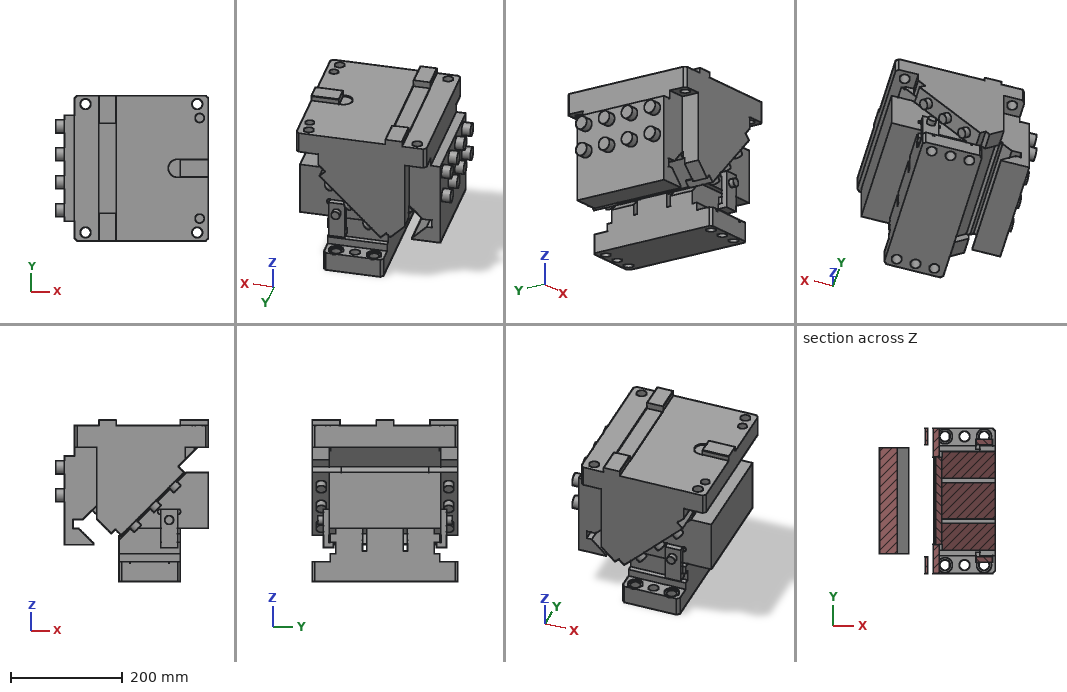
import cadquery as cq
import math


x_back = 273.0
width = 260.0
height = 289.0
half_width = width / 2
corner_chamfer = 5.0

wear_top = -62.0
rail_top = -49.5
gib_top = 14.0
gib_bottom = 34.5
slider_slope = 38.7

wall_front_rise = 185.2
wear_front_rise = 193.0
gib_front_rise = 200.0
rail_front_rise = 204.5
gib_back_rise = 425.0

plate_top = 279.2
plate_bottom = 240.2
plate_front = 33.5
plate_hole_diameter = 18.2
plate_hole_inset_x = 20.0
plate_hole_y = 114.7
dowel_diameter = 16.2
dowel_depth = 29.0
dowel_x = 257.5
dowel_y = 90.0

key_slot_depth = 3.0
cross_key_chamfer = 0.72
back_key_chamfer = 1.0
cross_key_front = 77.5
cross_key_width = 31.2
cross_key_length = 50.0
back_slot_width = 32.0
back_slot_length = 71.7
back_key_width = 32.0
back_key_length = 50.5

wall_front = 73.0
wall_back = 232.0
rail_half_width = 99.7
wear_half_width = 97.0
neck_half_width = 78.0
gib_bolt_diameter = 18.2
gib_bolt_height = 12.7
gib_bolt_y = 114.0
gib_bolt_pitch = 50.0
gib_bolt_middle_rise = 312.0

block_front = 16.0
block_half_width = 95.0
block_top = 224.8
block_bottom = 65.5
hook_slot_front = 31.2
hook_slot_top = 110.7
hook_slot_bottom = 95.5
hook_slope_start = 41.0
hook_tip_x = 68.5
front_bolt_diameter = 24.0
front_bolt_pitch = 50.0
front_bolt_columns = 4
front_bolt_top_z = 204.3
front_bolt_rows = 2

slider_bottom = 95.5
slider_top = 195.0
slider_half_width = rail_half_width
rail_wide_back = 248.0
neck_bottom = 85.8

bracket_front = 188.0
bracket_back = 218.0
bracket_bottom = 60.7
bracket_top = 129.8
bracket_half_width = 110.0
lip_top = 70.2
lip_inner_y = 92.0
pin_diameter = 15.5
pin_x = (bracket_front + bracket_back) / 2
pin_z = 110.0
pin_end_y = 120.0
side_slot_length = 41.0
side_slot_height = 9.5
side_slot_depth = 2.0

base_front = 113.0
base_back = 222.8
foot_top = 35.8
shoulder_half_width = 98.0
shoulder_top = 50.0
pillar_half_width = 88.5
tongue_half_width = 32.7
tongue_top = 81.8
groove_width = 7.2
groove_floor = 55.0
rib_front = 195.5
rib_top = 85.8
foot_hole_y = 115.0
foot_hole_pitch = 35.0
foot_hole_diameter = 18.2
counterbore_diameter = 26.5
counterbore_depth = 3.0


def slope_point(level, rise):
    """The (x, z) point where x - z = level and x + z = rise."""
    return ((rise + level) / 2, (rise - level) / 2)


def slope_at_height(level, z):
    return (level + z, z)


def slope_at_x(level, x):
    return (x, x - level)


def profile(points, y_min, y_max):
    """An XZ outline extruded from y_min to y_max."""
    return cq.Workplane("XZ", origin=(0, y_max, 0)).polyline(points).close().extrude(y_max - y_min)


def centred_profile(points, half):
    return profile(points, -half, half)


def on_both_sides(solid):
    return solid.union(solid.mirror("XZ"))


def box(x_range, y_range, z_range):
    size = [high - low for low, high in (x_range, y_range, z_range)]
    corner = (x_range[0], y_range[0], z_range[0])
    return cq.Workplane("XY").box(*size, centered=False).translate(corner)


def make_plate():
    plate = box((plate_front, x_back), (-half_width, half_width), (plate_bottom, plate_top))
    plate = plate.edges("|Z").chamfer(corner_chamfer)
    hole_xs = (plate_front + plate_hole_inset_x, x_back - plate_hole_inset_x)
    corner_points = [(x, y) for x in hole_xs for y in (-plate_hole_y, plate_hole_y)]
    dowel_points = [(dowel_x, -dowel_y), (dowel_x, dowel_y)]
    plate = plate.faces(">Z").workplane(origin=(0, 0, plate_top)).pushPoints(corner_points)
    plate = plate.hole(plate_hole_diameter)
    plate = plate.faces(">Z").workplane(origin=(0, 0, plate_top)).pushPoints(dowel_points)
    return plate.hole(dowel_diameter, dowel_depth)


def cut_key_slots(plate):
    floor = plate_top - key_slot_depth
    cross_key_back = cross_key_front + cross_key_width
    plate = plate.cut(box((cross_key_front, cross_key_back), (-half_width, half_width), (floor, plate_top)))
    back_slot = (
        cq.Workplane("XY", origin=(x_back, 0, floor))
        .slot2D(2 * back_slot_length, back_slot_width)
        .extrude(key_slot_depth)
    )
    return plate.cut(back_slot)


def make_keys():
    floor = plate_top - key_slot_depth
    cross_key = box(
        (cross_key_front, cross_key_front + cross_key_width),
        (half_width - cross_key_length, half_width),
        (floor, height),
    )
    cross_key = cross_key.faces(">Z").edges("|Y").chamfer(cross_key_chamfer)
    back_key = box(
        (x_back - back_key_length, x_back), (-back_key_width / 2, back_key_width / 2), (floor, height)
    )
    back_key = back_key.faces(">Z").edges("|X").chamfer(back_key_chamfer)
    return on_both_sides(cross_key).union(back_key)


def make_front_block():
    hook_drop = hook_tip_x - hook_slope_start
    block = centred_profile(
        [
            (block_front, block_bottom),
            (block_front, block_top),
            (plate_front, block_top),
            (plate_front, plate_bottom),
            slope_at_height(wear_top, plate_bottom),
            slope_at_height(wear_top, hook_slot_top),
            (hook_slot_front, hook_slot_top),
            (hook_slot_front, hook_slot_bottom),
            (hook_slope_start, hook_slot_bottom),
            (hook_tip_x, hook_slot_bottom - hook_drop),
            (hook_tip_x, block_bottom),
        ],
        block_half_width,
    )
    bolts = (
        cq.Workplane("YZ", origin=(0, 0, front_bolt_top_z - front_bolt_pitch / 2))
        .rarray(front_bolt_pitch, front_bolt_pitch, front_bolt_columns, front_bolt_rows)
        .circle(front_bolt_diameter / 2)
        .extrude(block_front)
    )
    return block.union(bolts)


def make_core():
    """The filling between the walls above the rail, with the wear plate on its slope."""
    core = centred_profile(
        [
            (wall_front, plate_bottom),
            slope_at_x(rail_top, wall_front),
            slope_at_height(rail_top, plate_bottom),
        ],
        rail_half_width,
    )
    wear_plate = centred_profile(
        [
            slope_point(wear_top, wear_front_rise),
            slope_point(rail_top, wear_front_rise),
            slope_at_height(rail_top, plate_bottom),
            slope_at_height(wear_top, plate_bottom),
        ],
        wear_half_width,
    )
    return core.union(wear_plate)


def make_wall_and_gib():
    wall = profile(
        [
            (wall_front, plate_bottom),
            (wall_front, wall_front_rise - wall_front),
            slope_point(gib_top, wall_front_rise),
            slope_at_x(gib_top, wall_back),
            (wall_back, plate_bottom),
        ],
        rail_half_width,
        half_width,
    )
    gib = profile(
        [
            slope_point(gib_top, gib_front_rise),
            slope_point(gib_bottom, gib_front_rise),
            slope_point(gib_bottom, gib_back_rise),
            slope_point(gib_top, gib_back_rise),
        ],
        neck_half_width,
        half_width,
    )
    side = wall.union(gib)
    for step in (-1, 0, 1):
        rise = gib_bolt_middle_rise + step * gib_bolt_pitch * math.sqrt(2)
        x, z = slope_point(gib_bottom, rise)
        bolt = cq.Solid.makeCylinder(
            gib_bolt_diameter / 2, gib_bolt_height, cq.Vector(x, gib_bolt_y, z), cq.Vector(1, 0, -1)
        )
        side = side.union(cq.Workplane(bolt))
    return side


def make_holder():
    plate = cut_key_slots(make_plate())
    holder = plate.union(make_keys()).union(make_front_block()).union(make_core())
    return holder.union(on_both_sides(make_wall_and_gib()))


def make_rail():
    rail = centred_profile(
        [
            slope_point(rail_top, rail_front_rise),
            slope_point(gib_top, rail_front_rise),
            slope_at_x(gib_top, rail_wide_back),
            (rail_wide_back, plate_bottom),
            slope_at_height(rail_top, plate_bottom),
        ],
        rail_half_width,
    )
    tip = centred_profile(
        [
            (rail_wide_back, plate_bottom),
            slope_at_x(gib_top, rail_wide_back),
            slope_at_height(gib_top, plate_bottom),
        ],
        wear_half_width,
    )
    neck = centred_profile(
        [
            slope_point(gib_top, rail_front_rise),
            (rail_front_rise - neck_bottom, neck_bottom),
            slope_at_height(slider_slope, neck_bottom),
            slope_point(slider_slope, gib_back_rise),
            slope_point(gib_top, gib_back_rise),
        ],
        neck_half_width,
    )
    return rail.union(tip).union(neck)


def make_slider_block():
    block = centred_profile(
        [
            slope_at_height(slider_slope, slider_bottom),
            (x_back, slider_bottom),
            (x_back, slider_top),
            slope_at_height(slider_slope, slider_top),
        ],
        slider_half_width,
    )
    side_slot = (
        cq.Workplane("XZ", origin=(pin_x, slider_half_width, bracket_top - side_slot_height / 2))
        .slot2D(side_slot_length, side_slot_height)
        .extrude(side_slot_depth)
    )
    return block.cut(on_both_sides(side_slot))


def make_bracket():
    x_range = (bracket_front, bracket_back)
    arm = box(x_range, (slider_half_width, bracket_half_width), (bracket_bottom, bracket_top))
    lip = box(x_range, (lip_inner_y, bracket_half_width), (bracket_bottom, lip_top))
    key = box(
        x_range,
        (slider_half_width - side_slot_depth, bracket_half_width),
        (bracket_top - side_slot_height, bracket_top),
    )
    pin = (
        cq.Workplane("XZ", origin=(pin_x, pin_end_y, pin_z))
        .circle(pin_diameter / 2)
        .extrude(pin_end_y - slider_half_width)
    )
    return arm.union(lip).union(key).union(pin)


def make_slider():
    return make_slider_block().union(make_rail()).union(on_both_sides(make_bracket()))


def make_foot():
    foot = box((base_front, base_back), (-half_width, half_width), (0, foot_top))
    foot = foot.edges("|Z").chamfer(corner_chamfer)
    x_middle = (base_front + base_back) / 2
    for y in (-foot_hole_y, foot_hole_y):
        middle_hole = foot.faces(">Z").workplane(origin=(x_middle, y, foot_top))
        foot = middle_hole.hole(foot_hole_diameter)
        bolt_holes = foot.faces(">Z").workplane(origin=(x_middle, y, foot_top))
        bolt_holes = bolt_holes.pushPoints([(-foot_hole_pitch, 0), (foot_hole_pitch, 0)])
        foot = bolt_holes.cboreHole(foot_hole_diameter, counterbore_diameter, counterbore_depth)
    return foot


def make_pillar():
    pillar = centred_profile(
        [
            (base_front, foot_top),
            slope_at_x(slider_slope, base_front),
            slope_at_height(slider_slope, slider_bottom),
            (base_back, slider_bottom),
            (base_back, foot_top),
        ],
        pillar_half_width,
    )
    tongue = centred_profile(
        [
            (base_front, foot_top),
            (base_front, tongue_top),
            slope_at_height(slider_slope, tongue_top),
            (base_back, foot_top),
        ],
        tongue_half_width,
    )
    groove = box(
        (base_front, base_back),
        (tongue_half_width, tongue_half_width + groove_width),
        (groove_floor, slider_bottom),
    )
    return pillar.union(tongue).cut(on_both_sides(groove))


def make_base():
    shoulder = box(
        (base_front, base_back), (-shoulder_half_width, shoulder_half_width), (foot_top, shoulder_top)
    )
    rib = box((rib_front, base_back), (pillar_half_width, shoulder_half_width), (lip_top, rib_top))
    return make_foot().union(shoulder).union(make_pillar()).union(on_both_sides(rib))


holder = make_holder()
slider = make_slider()
base = make_base()

result = cq.Compound.makeCompound([body.solids().val() for body in (holder, slider, base)])